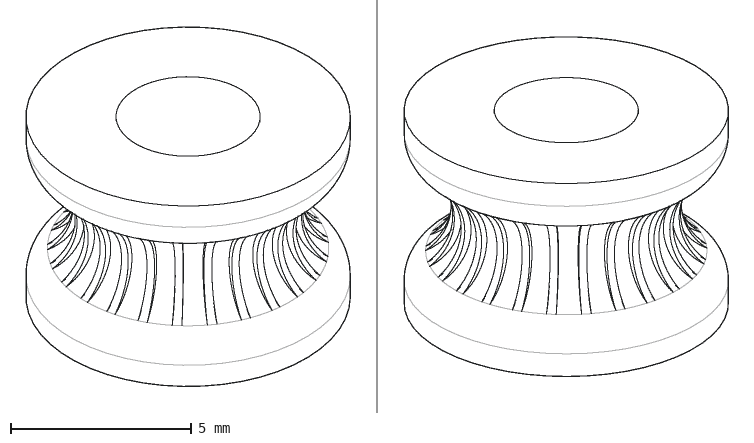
import cadquery as cq
import math

outer_radius = 4.5
bore_radius = 2.0
height = 6.0
throat_arc_radius = 1.5
shoulder_radius = 1.0
rib_height = 0.2
rib_count = 25
rib_angle = 4.0
rib_end_angle = 180.0

half_height = height / 2
throat_radius = outer_radius - throat_arc_radius
arc_centre_distance = throat_arc_radius + shoulder_radius
shoulder_centre_radius = outer_radius - shoulder_radius
shoulder_centre_z = math.sqrt(arc_centre_distance**2 - shoulder_radius**2)

throat_share = throat_arc_radius / arc_centre_distance
lip_radius = outer_radius - shoulder_radius * throat_share
lip_z = shoulder_centre_z * throat_share

shoulder_mid_angle = math.asin(shoulder_centre_z / arc_centre_distance) / 2
shoulder_mid_radius = shoulder_centre_radius + shoulder_radius * math.cos(shoulder_mid_angle)
shoulder_mid_z = shoulder_centre_z - shoulder_radius * math.sin(shoulder_mid_angle)


def revolve_about_z(profile, angle):
    """Revolve a closed XZ profile about the Z axis."""
    return profile.revolve(angle, (0, 0, 0), (0, 1, 0))


def make_body():
    """Bored roller with two rims, rounded shoulders and a smooth waist."""
    profile = (
        cq.Workplane("XZ")
        .moveTo(bore_radius, -half_height)
        .lineTo(outer_radius, -half_height)
        .lineTo(outer_radius, -shoulder_centre_z)
        .threePointArc((shoulder_mid_radius, -shoulder_mid_z), (lip_radius, -lip_z))
        .threePointArc((throat_radius, 0), (lip_radius, lip_z))
        .threePointArc((shoulder_mid_radius, shoulder_mid_z), (outer_radius, shoulder_centre_z))
        .lineTo(outer_radius, half_height)
        .lineTo(bore_radius, half_height)
        .close()
    )
    return revolve_about_z(profile, 360)


def make_rib():
    """Rib that rises from the throat and fades out at both lips; its last side lies along +X."""
    root_radius = (bore_radius + throat_radius) / 2
    profile = (
        cq.Workplane("XZ")
        .moveTo(root_radius, -lip_z)
        .lineTo(lip_radius, -lip_z)
        .threePointArc((throat_radius + rib_height, 0), (lip_radius, lip_z))
        .lineTo(root_radius, lip_z)
        .close()
    )
    rib = revolve_about_z(profile, rib_angle)
    return rib.rotate((0, 0, 0), (0, 0, 1), -rib_angle)


result = make_body()
first_rib = make_rib()
for index in range(rib_count):
    direction = rib_end_angle + index * 360 / rib_count
    result = result.union(first_rib.rotate((0, 0, 0), (0, 0, 1), direction))